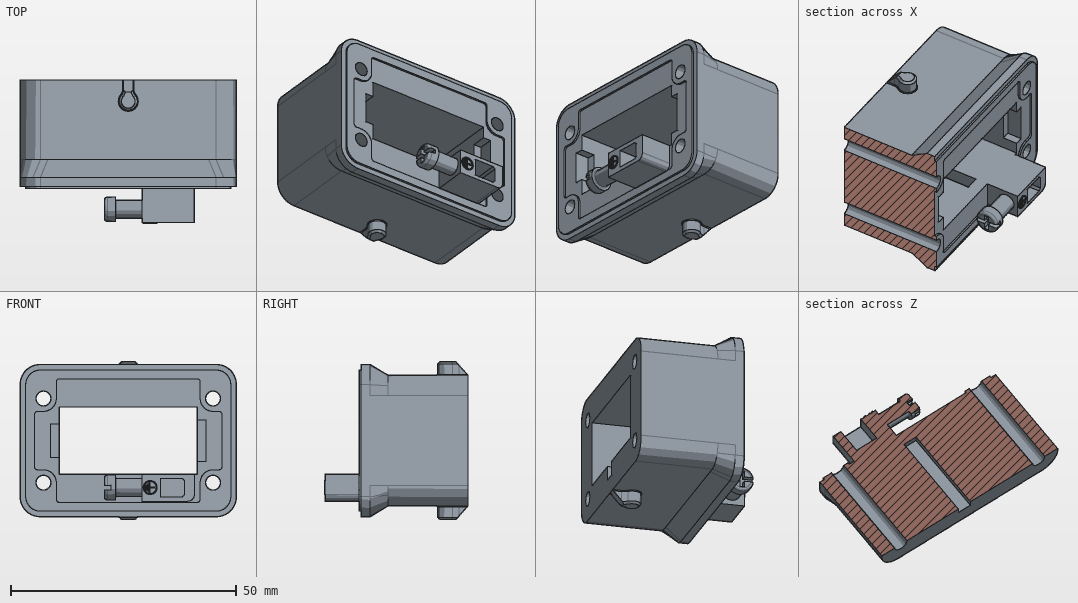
import cadquery as cq
import math


LENGTH = 48.0
BODY_HEIGHT = 29.0
FLANGE_HEIGHT = 33.8
CORNER_RADIUS = 4.5
HOUSING_DEPTH = 23.7
FLANGE_THICKNESS = 2.0
TAPER_LENGTH = 4.0
LIP_HEIGHT = 0.45
LIP_INSET = 1.25

TAPER_SHIFT = 1.65
BODY_SEAM_ANGLE = 61.5

RECESS_TALL_LENGTH = 31.9
RECESS_TALL_HEIGHT = 27.4
RECESS_LONG_LENGTH = 41.6
RECESS_FILLET = 0.7
HOLE_X = 18.8
HOLE_Z = 9.33
HOLE_DIAMETER = 3.25
HOLE_LAND_RADIUS = 2.85
OPENING_LENGTH = 30.6
OPENING_HEIGHT = 14.9
NOTCH_REACH = 1.9
NOTCH_DEPTH = 3.5
LEFT_NOTCH_HEIGHT = 7.4
RIGHT_NOTCH_HEIGHT = 9.25

BLOCK_LEFT = 3.06
BLOCK_RIGHT = 14.68
BLOCK_BOTTOM = -13.45
BLOCK_REACH = 7.97
BLOCK_CORNER_RADIUS = 1.5
POCKET_LEFT = 7.1
POCKET_RIGHT = 12.5
POCKET_TOP = -8.4
POCKET_BOTTOM = -12.5
POCKET_CHAMFER = 0.5
POCKET_DEPTH = 6.0
FLOOR_SLOT_WIDTH = 3.2
FLOOR_SLOT_DEPTH = 3.2
FLOOR_SLOT_SETBACK = 3.0

SCREW_Y = -5.0
SCREW_Z = -10.4
SHANK_DIAMETER = 4.0
SHANK_LENGTH = 5.86
HEAD_DIAMETER = 5.5
HEAD_LENGTH = 2.5
HEAD_FILLET = 0.65
SHANK_FILLET = 0.2
DRIVE_WIDTH = 1.0
DRIVE_DEPTH = 1.5
DRIVE_SHORT_LENGTH = 3.7

SYMBOL_X = 4.87
SYMBOL_HEIGHT = 0.16
SYMBOL_DIAMETER = 3.1
SYMBOL_LINE = 0.2
SYMBOL_STEM_LENGTH = 1.24
SYMBOL_BAR_LENGTHS = (2.2, 1.6, 1.0)

TOTAL_HEIGHT = 35.0
PIN_RADIUS = 2.02
PIN_SETBACK = 4.75
PIN_CHAMFER = 0.5
NECK_SETBACK = 2.05
RAMP_LENGTH = 2.7
RIB_WIDTH = 2.1
PIN_FLARE = 0.2
FLARE_ANGLE = 45

half_length = LENGTH / 2
half_opening = OPENING_LENGTH / 2
opening_floor = -OPENING_HEIGHT / 2
body_half = BODY_HEIGHT / 2
flange_half = FLANGE_HEIGHT / 2


def front_plane(y):
    """Sketch plane with local axes X and Z whose normal points to -Y."""
    return cq.Workplane("XZ", origin=(0, y, 0))


def box_between(x_range, y_range, z_range):
    size = [end - start for start, end in (x_range, y_range, z_range)]
    corner = cq.Vector(x_range[0], y_range[0], z_range[0])
    return cq.Workplane(obj=cq.Solid.makeBox(*size, corner))


def rounded_plate(length, height, radius, y_back, thickness):
    plate = front_plane(y_back).rect(length, height).extrude(thickness)
    return plate.edges("|Y").fillet(radius)


def corner_point(half_height, angle):
    """Point (x, z) on the upper right corner arc; the angle is measured from +Z."""
    turn = math.radians(angle)
    x = half_length - CORNER_RADIUS * (1 - math.sin(turn))
    z = half_height - CORNER_RADIUS * (1 - math.cos(turn))
    return (x, z)


def section_wire(corner, y):
    """Closed section built from one upper right corner mirrored to all four.

    The corner is a start point and a list of (middle, end) steps; a middle of None
    stands for a straight step.
    """
    start, steps = corner
    nodes = [start] + [end for _, end in steps]
    middles = [middle for middle, _ in steps]
    edges = []
    previous = None
    first = None
    for sign_x, sign_z in ((1, 1), (1, -1), (-1, -1), (-1, 1)):
        forward = sign_x * sign_z > 0
        order = nodes if forward else nodes[::-1]
        order_middles = middles if forward else middles[::-1]
        place = [cq.Vector(sign_x * x, y, sign_z * z) for x, z in order]
        if previous is None:
            first = place[0]
        else:
            edges.append(cq.Edge.makeLine(previous, place[0]))
        for begin, end, middle in zip(place, place[1:], order_middles):
            if middle is None:
                edges.append(cq.Edge.makeLine(begin, end))
            else:
                through = cq.Vector(sign_x * middle[0], y, sign_z * middle[1])
                edges.append(cq.Edge.makeThreePointArc(begin, through, end))
        previous = place[-1]
    edges.append(cq.Edge.makeLine(previous, first))
    return cq.Wire.assembleEdges(edges)


def split_arc(half_height, seam_angle):
    """The two steps that follow the corner arc up to a seam and on to its end."""
    return [
        (corner_point(half_height, seam_angle / 2), corner_point(half_height, seam_angle)),
        (corner_point(half_height, (seam_angle + 90) / 2), corner_point(half_height, 90)),
    ]


def make_taper():
    """Transition from the body to the taller flange, with ruled corner patches."""
    arc_start = half_length - CORNER_RADIUS
    flange_seam_angle = math.degrees(math.asin(TAPER_SHIFT / CORNER_RADIUS))
    body_start = (arc_start - TAPER_SHIFT, body_half)
    body_steps = [(None, (arc_start, body_half))] + split_arc(body_half, BODY_SEAM_ANGLE)
    flange_start = (arc_start, flange_half)
    flange_end = (half_length, body_half - CORNER_RADIUS)
    flange_steps = split_arc(flange_half, flange_seam_angle) + [(None, flange_end)]
    body_section = section_wire((body_start, body_steps), FLANGE_THICKNESS + TAPER_LENGTH)
    flange_section = section_wire((flange_start, flange_steps), FLANGE_THICKNESS)
    return cq.Workplane(obj=cq.Solid.makeLoft([body_section, flange_section], True))


def make_housing():
    body_depth = HOUSING_DEPTH - FLANGE_THICKNESS - TAPER_LENGTH
    body = rounded_plate(LENGTH, BODY_HEIGHT, CORNER_RADIUS, HOUSING_DEPTH, body_depth)
    flange = rounded_plate(LENGTH, FLANGE_HEIGHT, CORNER_RADIUS, FLANGE_THICKNESS, FLANGE_THICKNESS)
    lip = rounded_plate(
        LENGTH - 2 * LIP_INSET,
        FLANGE_HEIGHT - 2 * LIP_INSET,
        CORNER_RADIUS - LIP_INSET,
        0,
        LIP_HEIGHT,
    )
    return body.union(make_taper()).union(flange).union(lip)


def make_recess():
    """Cross-shaped recess in the lip that curves round the lands of the screw holes."""
    long_height = 2 * (HOLE_Z - HOLE_LAND_RADIUS)
    tall = front_plane(0).rect(RECESS_TALL_LENGTH, RECESS_TALL_HEIGHT).extrude(LIP_HEIGHT)
    long = front_plane(0).rect(RECESS_LONG_LENGTH, long_height).extrude(LIP_HEIGHT)
    tall = tall.edges("|Y").fillet(RECESS_FILLET)
    long = long.edges("|Y").fillet(RECESS_FILLET)
    gusset = front_plane(0).rect(2 * HOLE_X, 2 * HOLE_Z).extrude(LIP_HEIGHT)
    lands = hole_positions().circle(HOLE_LAND_RADIUS).extrude(LIP_HEIGHT)
    return gusset.cut(lands).union(tall).union(long)


def hole_positions():
    return front_plane(0).rect(2 * HOLE_X, 2 * HOLE_Z, forConstruction=True).vertices()


def make_opening():
    """Opening through the housing with a shallow notch in each end wall."""
    opening = front_plane(HOUSING_DEPTH).rect(OPENING_LENGTH, OPENING_HEIGHT).extrude(HOUSING_DEPTH)
    for side, height in ((-1, LEFT_NOTCH_HEIGHT), (1, RIGHT_NOTCH_HEIGHT)):
        notch = (
            front_plane(NOTCH_DEPTH)
            .center(side * half_opening, 0)
            .rect(2 * NOTCH_REACH, height)
            .extrude(NOTCH_DEPTH)
        )
        opening = opening.union(notch)
    return opening


def make_floor_slot():
    """Groove in the floor of the opening, running to the back face."""
    return box_between(
        (BLOCK_LEFT - FLOOR_SLOT_WIDTH, BLOCK_LEFT),
        (FLOOR_SLOT_SETBACK, HOUSING_DEPTH),
        (opening_floor - FLOOR_SLOT_DEPTH, opening_floor),
    )


def make_block():
    block = box_between((BLOCK_LEFT, BLOCK_RIGHT), (-BLOCK_REACH, 0), (BLOCK_BOTTOM, opening_floor))
    block = block.edges("|Y and >X and <Z").fillet(BLOCK_CORNER_RADIUS)
    pocket = box_between(
        (POCKET_LEFT, POCKET_RIGHT),
        (-BLOCK_REACH, POCKET_DEPTH - BLOCK_REACH),
        (POCKET_BOTTOM, POCKET_TOP),
    )
    pocket = pocket.edges("|Y and >X").chamfer(POCKET_CHAMFER)
    return block.cut(pocket)


def make_screw():
    """Terminal screw along X with a rounded head, a filleted neck and a slotted cross drive."""
    axis = cq.Workplane("YZ", origin=(BLOCK_LEFT, SCREW_Y, SCREW_Z))
    shank = axis.circle(SHANK_DIAMETER / 2).extrude(-SHANK_LENGTH)
    head_plane = axis.workplane(offset=-SHANK_LENGTH)
    head = head_plane.circle(HEAD_DIAMETER / 2).extrude(-HEAD_LENGTH)
    head = head.faces("<X").edges().fillet(HEAD_FILLET)
    drive_plane = head_plane.workplane(offset=-HEAD_LENGTH)
    long_slot = drive_plane.rect(HEAD_DIAMETER, DRIVE_WIDTH).extrude(DRIVE_DEPTH)
    short_slot = drive_plane.rect(DRIVE_WIDTH, DRIVE_SHORT_LENGTH).extrude(DRIVE_DEPTH)
    screw = shank.union(head)
    shoulder = cq.selectors.RadiusNthSelector(0)
    screw = screw.faces("+X").faces("<X").edges(shoulder).fillet(SHANK_FILLET)
    return screw.cut(long_slot).cut(short_slot)


def make_earth_symbol():
    """Raised ring with the earth sign, lying on its side with the stem towards +X."""
    face = front_plane(-BLOCK_REACH).center(SYMBOL_X, SCREW_Z)
    radius = SYMBOL_DIAMETER / 2
    symbol = face.circle(radius).circle(radius - SYMBOL_LINE).extrude(SYMBOL_HEIGHT)
    bar_pitch = 2 * SYMBOL_LINE
    stem_x = SYMBOL_STEM_LENGTH / 2 - SYMBOL_LINE
    stem = face.center(stem_x, 0).rect(SYMBOL_STEM_LENGTH, SYMBOL_LINE)
    symbol = symbol.union(stem.extrude(SYMBOL_HEIGHT))
    for index, bar_length in enumerate(SYMBOL_BAR_LENGTHS):
        bar = face.center(-SYMBOL_LINE - index * bar_pitch, 0).rect(SYMBOL_LINE, bar_length)
        symbol = symbol.union(bar.extrude(SYMBOL_HEIGHT))
    return symbol


def pin_outline():
    """Outline of a round pin blended into a rib that runs past the back face."""
    half_rib = RIB_WIDTH / 2
    back_y = HOUSING_DEPTH + PIN_FLARE
    pin_y = HOUSING_DEPTH - PIN_SETBACK
    neck_y = HOUSING_DEPTH - NECK_SETBACK
    neck_run = neck_y - pin_y
    blend_radius = (half_rib**2 + neck_run**2 - PIN_RADIUS**2) / (2 * (PIN_RADIUS - half_rib))
    blend_x = half_rib + blend_radius
    turn = math.atan2(neck_run, blend_x)
    tangent_x = PIN_RADIUS * math.cos(turn)
    tangent_y = pin_y + PIN_RADIUS * math.sin(turn)
    middle_x = blend_x - blend_radius * math.cos(turn / 2)
    middle_y = neck_y - blend_radius * math.sin(turn / 2)
    return (
        cq.Workplane("XY", origin=(0, 0, body_half))
        .moveTo(-half_rib, back_y)
        .lineTo(-half_rib, neck_y)
        .threePointArc((-middle_x, middle_y), (-tangent_x, tangent_y))
        .threePointArc((0, pin_y - PIN_RADIUS), (tangent_x, tangent_y))
        .threePointArc((middle_x, middle_y), (half_rib, neck_y))
        .lineTo(half_rib, back_y)
        .close()
    )


def make_pin():
    """Upper locking pin with a chamfered top, a ramp down to the back and a flared foot."""
    pin_top = TOTAL_HEIGHT / 2
    pin = pin_outline().extrude(pin_top - body_half)
    pin = pin.faces(">Z").chamfer(PIN_CHAMFER)
    flare = pin_outline().offset2D(PIN_FLARE).extrude(PIN_FLARE, taper=FLARE_ANGLE)
    beyond_y = HOUSING_DEPTH + 2 * PIN_RADIUS
    waste = (
        cq.Workplane("YZ", origin=(-PIN_RADIUS, 0, 0))
        .moveTo(HOUSING_DEPTH, body_half)
        .lineTo(HOUSING_DEPTH - RAMP_LENGTH, pin_top)
        .lineTo(beyond_y, pin_top)
        .lineTo(beyond_y, body_half)
        .close()
        .extrude(2 * PIN_RADIUS)
    )
    return pin.union(flare).cut(waste)


def make_part():
    pin = make_pin()
    part = make_housing().union(pin).union(pin.mirror("XY"))
    part = part.cut(make_recess()).cut(make_opening()).cut(make_floor_slot())
    part = part.cut(hole_positions().circle(HOLE_DIAMETER / 2).extrude(HOUSING_DEPTH, both=True))
    return part.union(make_block()).union(make_screw()).union(make_earth_symbol())


result = make_part()